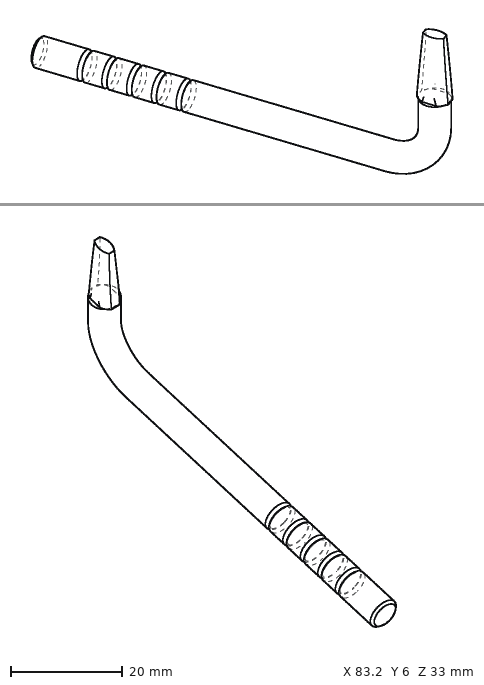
import cadquery as cq

overall_length = 83.2
overall_height = 33.0
rod_diameter = 6.0
rod_radius = rod_diameter / 2
bend_radius = 9.15
end_chamfer = 0.5

groove_count = 5
groove_pitch = 5.0
first_groove_x = 10.0
groove_radius = 0.5

tip_length = 14.15
tip_base_width = 6.3
tip_base_thickness = 5.0
tip_top_width = 4.2
tip_top_thickness = 2.4
tip_face_radius = 4.0
tip_thickness_limit = 4.5

leg_x = overall_length - tip_base_width / 2
bend_start_x = leg_x - bend_radius
tip_top_z = overall_height - rod_radius
tip_base_z = tip_top_z - tip_length


def make_long_leg():
    """Revolve the leg's half outline, grooves and end chamfer included, about the X axis."""
    outline = (
        cq.Workplane("XZ")
        .lineTo(0, rod_radius - end_chamfer)
        .lineTo(end_chamfer, rod_radius)
    )
    for index in range(groove_count):
        groove_x = first_groove_x + index * groove_pitch
        outline = outline.lineTo(groove_x - groove_radius, rod_radius).threePointArc(
            (groove_x, rod_radius - groove_radius), (groove_x + groove_radius, rod_radius)
        )
    outline = outline.lineTo(bend_start_x, rod_radius).lineTo(bend_start_x, 0).close()
    return outline.revolve(360, (0, 0, 0), (1, 0, 0))


def make_bend():
    return (
        cq.Workplane("YZ", origin=(bend_start_x, 0, 0))
        .circle(rod_radius)
        .revolve(90, (0.8, bend_radius, 0), (-0.8, bend_radius, 0))
    )


def make_short_leg():
    return (
        cq.Workplane("XY", origin=(leg_x, 0, bend_radius))
        .circle(rod_radius)
        .extrude(tip_base_z - bend_radius)
    )


def make_leaning_cylinder(side):
    """Cylinder leaning inward with height; its outer wall forms the blade face on one Y side."""
    base_y = side * (tip_base_thickness / 2 - tip_face_radius)
    lean = side * (tip_top_thickness - tip_base_thickness) / 2
    axis = cq.Vector(0, lean, tip_length)
    cylinder = cq.Solid.makeCylinder(
        tip_face_radius,
        2 * tip_length,
        cq.Vector(leg_x, base_y - lean / 2, tip_base_z - tip_length / 2),
        axis,
    )
    return cq.Workplane(obj=cylinder)


def make_tip():
    half_base = tip_base_width / 2
    half_top = tip_top_width / 2
    wedge = (
        cq.Workplane("XZ", origin=(leg_x, 0, 0))
        .moveTo(-half_base, tip_base_z)
        .lineTo(half_base, tip_base_z)
        .lineTo(half_top, tip_top_z)
        .lineTo(-half_top, tip_top_z)
        .close()
        .extrude(tip_thickness_limit / 2, both=True)
    )
    for side in (-1, 1):
        wedge = wedge.intersect(make_leaning_cylinder(side))
    return wedge


result = make_long_leg().union(make_bend()).union(make_short_leg()).union(make_tip())